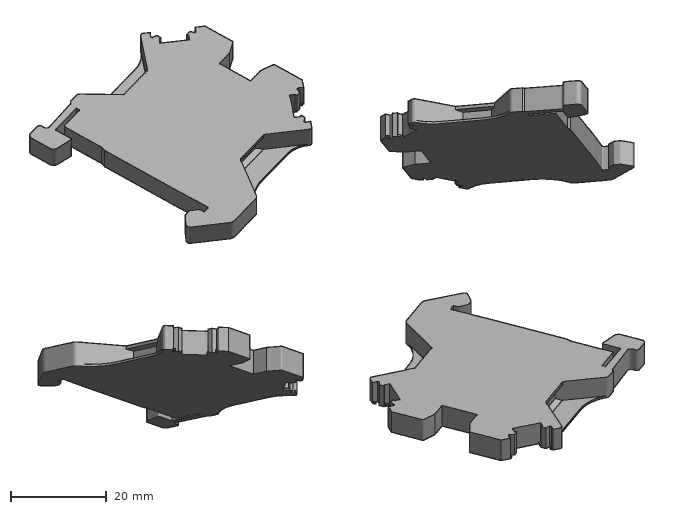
import cadquery as cq
import math


overall_length = 48.75
thickness = 5.2
flange_thickness = 0.5
ledge_thickness = 0.4

top_y = 40.25
gap_half_width = 4.05
gap_flare_half_width = 5.3
gap_floor_y = 33.65
gap_flare_y = 37.2
gap_flare_radius = 0.4
tower_shoulder_x = -12.65

lip_x = -14.15
lip_y = top_y - (tower_shoulder_x - lip_x)
groove_floor_x = -13.25
groove_top_y = 38.0
groove_bottom_y = 37.55
cleat_x = -14.3
cleat_top_y = 37.15
cleat_bottom_y = 36.05
undercut_start = (-13.8, 36.15)
undercut_end = (-12.95, 35.3)
ledge_width = 0.45
lip_ledge_width = 0.25
lip_ledge_length = 0.7

diagonal_sum = 17.9
arm_tip_cut = 0.3
arm_tip_radius = 0.35

pocket_x = -15.1
pocket_top_y = 23.3
pocket_bottom_y = 14.85
pocket_lower_slope = 0.706
pocket_undercut = 1.3
pocket_floor_run = 0.1
pocket_lip_z = 4.5
pocket_wall_top_z = 4.2
pocket_wall_bottom_z = 1.15
pocket_clearance = 0.5
flange_x = -19.75
flange_upper_radius = 6.6
flange_lower_radius = 9.15
flange_top_x = -21.85
flange_foot_x = -22.55

left_x = -23.0
right_x = 24.25
shoulder_radius = 1.0
step_start_x = -10.2
step_end_x = -9.15
step_height = 0.35
underside_rise_x = 10.4

foot_left_x = right_x - overall_length
foot_top_y = -2.35
foot_bottom_y = -6.3
foot_toe_y = -1.5
foot_toe_x = -16.55
foot_heel_x = -17.8
foot_top_radius = 0.7
foot_bottom_radius = 0.98
foot_heel_radius = 1.25
foot_toe_radius = 0.2
stem_root_radius = 0.85
stem_bends = ((left_x, 6.75), (-22.62, 6.4), (-22.45, -0.2))
stem_left_x = -22.35
stem_right_x = -20.85
slot_right_x = -20.05
slot_top_y = 5.95
slot_corner_radius = 0.35

hook_inner_x = 17.65
hook_root_y = 0.15
hook_throat_y = -1.35
hook_nose_x = 14.95
hook_nose_top_y = -3.05
hook_nose_bottom_y = -4.55
hook_throat_end_x = 16.55
hook_tip = (17.25, -7.1)
hook_tip_radius = 0.8
hook_root_radius = 0.25
hook_throat_radius = 1.45
hook_nose_top_radius = 0.4
hook_nose_bottom_radius = 0.75
hook_heel_radius = 1.6
hook_heel_y = hook_tip[1] + (right_x - hook_tip[0])


def rounded_outline(points):
    """Closed outline through (x, y) or (x, y, radius) corners with tangent arcs."""
    corners = []
    for index, point in enumerate(points):
        x, y = point[:2]
        if len(point) == 2:
            corners.append(((x, y),))
            continue
        radius = point[2]
        before = points[index - 1]
        after = points[(index + 1) % len(points)]
        angle_in = math.atan2(before[1] - y, before[0] - x)
        angle_out = math.atan2(after[1] - y, after[0] - x)
        half_turn = math.remainder(angle_out - angle_in, 2 * math.pi) / 2
        half = abs(half_turn)
        middle = angle_in + half_turn
        setback = radius / math.tan(half)
        crown = radius / math.sin(half) - radius
        corners.append(tuple(
            (x + length * math.cos(angle), y + length * math.sin(angle))
            for length, angle in ((setback, angle_in), (crown, middle), (setback, angle_out))
        ))
    outline = cq.Workplane("XY").moveTo(*corners[0][-1])
    for corner in corners[1:] + corners[:1]:
        outline = outline.lineTo(*corner[0])
        if len(corner) == 3:
            outline = outline.threePointArc(corner[1], corner[2])
    return outline.close()


def mirror_x(points):
    """Points mirrored to the other side of X = 0, in reversed order."""
    return [(-point[0], *point[1:]) for point in reversed(points)]


def reflect_to_arm(points):
    """Tower points reflected onto the side arm, in reversed order."""
    return [(diagonal_sum - p[1], diagonal_sum - p[0]) for p in reversed(points)]


def both_sides(solid):
    return solid.union(solid.mirror("YZ"))


def slant_y(distance):
    """Height of the sloping lower pocket edge at a distance outward of the pocket wall."""
    return pocket_bottom_y - pocket_lower_slope * distance


ledge_offset = ledge_width * math.sqrt(0.5)
v_corner = (undercut_end[0] - ledge_offset, undercut_end[1] - ledge_offset)
groove = [
    (lip_x, lip_y),
    (groove_floor_x, groove_top_y),
    (groove_floor_x, groove_bottom_y),
    (cleat_x, cleat_top_y),
    (cleat_x, cleat_bottom_y),
    undercut_start,
    undercut_end,
    v_corner,
]

arm_end_offset = lip_y - lip_x
pocket_edge_sum = pocket_x + pocket_top_y
arm_tip = ((pocket_edge_sum - arm_end_offset) / 2, (pocket_edge_sum + arm_end_offset) / 2)

upper_left = [
    (-gap_half_width, gap_floor_y),
    (-gap_half_width, gap_flare_y),
    (-gap_flare_half_width, top_y, gap_flare_radius),
    (tower_shoulder_x, top_y),
    *groove,
    *reflect_to_arm(groove),
    (arm_tip[0] + arm_tip_cut, arm_tip[1] + arm_tip_cut, arm_tip_radius),
    (arm_tip[0] + arm_tip_cut, arm_tip[1] - arm_tip_cut, arm_tip_radius),
    (pocket_x, pocket_top_y),
    (pocket_x, pocket_bottom_y),
]
left_shoulder = (left_x, slant_y(pocket_x - left_x), shoulder_radius)
right_shoulder = (right_x, slant_y(right_x + pocket_x), shoulder_radius)

spring_foot = [
    *stem_bends,
    (stem_left_x, foot_top_y, stem_root_radius),
    (foot_left_x, foot_top_y, foot_top_radius),
    (foot_left_x, foot_bottom_y, foot_bottom_radius),
    (foot_heel_x, foot_bottom_y, foot_heel_radius),
    (foot_toe_x, foot_toe_y, foot_toe_radius),
    (stem_right_x, foot_toe_y),
    (stem_right_x, slot_top_y),
    (slot_right_x, slot_top_y),
]
underside = [
    (slot_right_x, step_height, slot_corner_radius),
    (step_start_x, step_height),
    (step_end_x, 0),
    (underside_rise_x, 0),
]
rail_hook = [
    (hook_inner_x, hook_root_y, hook_root_radius),
    (hook_inner_x, hook_throat_y),
    (hook_throat_end_x, hook_throat_y, hook_throat_radius),
    (hook_nose_x, hook_nose_top_y, hook_nose_top_radius),
    (hook_nose_x, hook_nose_bottom_y, hook_nose_bottom_radius),
    (*hook_tip, hook_tip_radius),
    (right_x, hook_heel_y, hook_heel_radius),
]
body_outline = [
    *upper_left, left_shoulder, *spring_foot, *underside, *rail_hook, right_shoulder,
    *mirror_x(upper_left),
]
body = rounded_outline(body_outline).extrude(thickness)


def side_flange():
    foot_y = slant_y(pocket_x - flange_foot_x)
    flange_points = [
        (flange_top_x, pocket_edge_sum - flange_top_x),
        (flange_x, pocket_edge_sum - flange_x, flange_upper_radius),
        (flange_x, foot_y + flange_x - flange_foot_x, flange_lower_radius),
        (flange_foot_x, foot_y),
        (pocket_x, pocket_bottom_y),
        (pocket_x, pocket_top_y),
    ]
    return rounded_outline(flange_points).extrude(flange_thickness)


def pocket_recess():
    deep_x = pocket_x + pocket_undercut
    open_x = pocket_x - pocket_clearance
    plan = [
        (open_x, pocket_edge_sum - open_x),
        (deep_x, pocket_edge_sum - deep_x),
        (deep_x, slant_y(-pocket_undercut)),
        (open_x, slant_y(pocket_clearance)),
    ]
    section = [
        (open_x, flange_thickness),
        (pocket_x + pocket_floor_run, flange_thickness),
        (deep_x, pocket_wall_bottom_z),
        (deep_x, pocket_wall_top_z),
        (pocket_x, pocket_lip_z),
        (open_x, pocket_lip_z),
    ]
    plan_prism = cq.Workplane("XY").polyline(plan).close().extrude(thickness)
    section_prism = cq.Workplane("XZ").polyline(section).close().extrude(-top_y)
    return plan_prism.intersect(section_prism)


def groove_ledges():
    lip_ledge = [
        (lip_x, lip_y),
        (lip_x, lip_y - lip_ledge_length),
        (lip_x + lip_ledge_width, lip_y - lip_ledge_length),
        (lip_x + lip_ledge_width, lip_y),
    ]
    undercut_ledge = [undercut_start, (cleat_x, cleat_bottom_y), v_corner, undercut_end]
    ledges = cq.Workplane("XY")
    for ledge in (lip_ledge, undercut_ledge):
        for points in (ledge, reflect_to_arm(ledge)):
            ledges = ledges.union(cq.Workplane("XY").polyline(points).close().extrude(ledge_thickness))
    return ledges


result = (
    body
    .union(both_sides(side_flange()))
    .cut(both_sides(pocket_recess()))
    .union(both_sides(groove_ledges()))
)